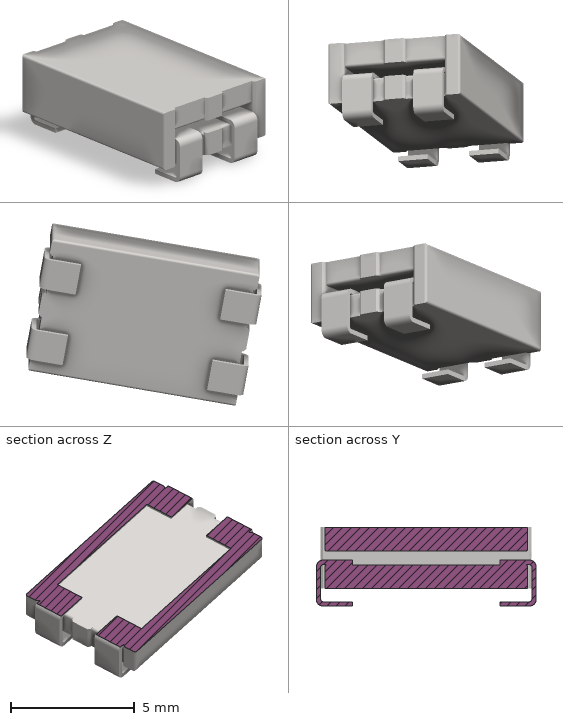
import cadquery as cq

overall_length = 8.9
overall_height = 3.2

sheet_thickness = 0.2
inner_bend_radius = 0.1
outer_bend_radius = inner_bend_radius + sheet_thickness
terminal_width = 1.25
terminal_gap = 1.76
foot_length = 1.49

body_length = overall_length - 2 * sheet_thickness
body_width = 5.6
body_height = 2.5
body_bottom = overall_height - body_height
edge_radius = 0.1

plate_thickness = 0.98
slot_width = terminal_gap + 2 * terminal_width
slot_height = body_height - 2 * plate_thickness
slot_floor = body_bottom + plate_thickness
slot_ceiling = slot_floor + slot_height

recess_depth = 0.15
tab_width = 0.75
corner_chamfer = 0.1

recess_face = body_length / 2 - recess_depth
terminal_top = slot_floor + sheet_thickness


def end_recess(end, side):
    """Full-height recess on one side of the tab; its mouth is chamfered."""
    mouth = body_length / 2
    chamfer_root = mouth - corner_chamfer
    tab_edge = tab_width / 2
    tab_root = tab_edge + corner_chamfer
    wall_root = slot_width / 2
    wall_edge = wall_root + corner_chamfer
    outline = [
        (mouth, tab_edge),
        (chamfer_root, tab_root),
        (recess_face, tab_root),
        (recess_face, wall_root),
        (chamfer_root, wall_root),
        (mouth, wall_edge),
    ]
    placed = [(end * x, side * y) for x, y in outline]
    return cq.Workplane("XY").workplane(offset=body_bottom).polyline(placed).close().extrude(body_height)


def slot_mouth_edges(body):
    """Edges where the slot floor and ceiling meet the recessed end faces."""
    tolerance = 0.001
    mouths = cq.Workplane("XY")
    for end in (-1, 1):
        for level in (slot_floor, slot_ceiling):
            x = end * recess_face
            corner_low = (x - tolerance, -slot_width, level - tolerance)
            corner_high = (x + tolerance, slot_width, level + tolerance)
            selector = cq.selectors.BoxSelector(corner_low, corner_high)
            mouths = mouths.add(body.edges("|Y").edges(selector))
    return mouths.vals()


def make_body():
    body = cq.Workplane("XY").box(body_length, body_width, body_height, centered=(True, True, False))
    body = body.translate((0, 0, body_bottom))
    body = body.faces("<Y or >Y").edges().fillet(edge_radius)

    slot = cq.Workplane("XY").box(body_length, slot_width, slot_height, centered=(True, True, False))
    body = body.cut(slot.translate((0, 0, slot_floor)))

    for end in (-1, 1):
        for side in (-1, 1):
            body = body.cut(end_recess(end, side))
    return body.newObject(slot_mouth_edges(body)).fillet(edge_radius)


def make_terminal():
    """C-shaped clip on the -X end: its upper leg lies on the slot floor, its lower leg is the foot."""
    outer_x = -overall_length / 2
    profile_centre = (outer_x + foot_length / 2, terminal_top / 2)
    outer = (
        cq.Workplane("XZ")
        .center(*profile_centre)
        .rect(foot_length, terminal_top)
        .extrude(terminal_width / 2, both=True)
        .edges("|Y and <X")
        .fillet(outer_bend_radius)
    )
    inner = (
        cq.Workplane("XZ")
        .center(profile_centre[0] + sheet_thickness, profile_centre[1])
        .rect(foot_length, terminal_top - 2 * sheet_thickness)
        .extrude(terminal_width / 2, both=True)
        .edges("|Y and <X")
        .fillet(inner_bend_radius)
    )
    return outer.cut(inner)


result = make_body()
terminal_offset = (terminal_gap + terminal_width) / 2
for side in (-1, 1):
    terminal = make_terminal().translate((0, side * terminal_offset, 0))
    result = result.union(terminal).union(terminal.mirror("YZ"))